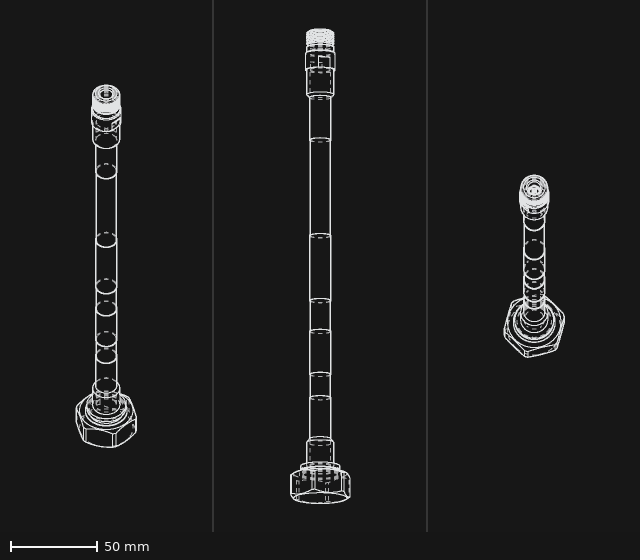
import cadquery as cq
import math


total_height = 276.2
cable_dia = 11.5
sleeve_dia = 12.5
long_sleeve_bottom = 116.8
long_sleeve_top = 155.2
short_sleeve_bottom = 73.2
short_sleeve_top = 98.5

boot_wide_dia = 15.7
lower_boot_top = 59.5
lower_boot_cone_top = 35.0
lower_boot_cone_bottom = 33.0
upper_boot_bottom = 211.8
upper_boot_cone_bottom = 237.0
upper_boot_cone_top = 238.5

nut_across_flats = 31.8
nut_across_corners = 35.5
nut_face_dia = 31.0
nut_bevel_angle = 35.0
nut_top = 14.4
nut_neck_dia = 20.0
nut_recess_dia = 24.3
nut_recess_depth = 0.5
nut_collar_dia = 22.6
nut_collar_bottom = 16.5
nut_collar_top = 19.0

hub_bottom = 253.2
hub_top = 263.5
hub_dia = 17.0
hub_bevel = 0.5
hub_across_flats = 15.7
hub_flat_top = 259.3
shoulder_dia = 15.7
shoulder_top = 266.8
thread_dia = 15.7
thread_root_dia = 14.4
thread_bottom = 268.2
thread_pitch = 1.05
thread_count = 7
tip_face_dia = 12.5

mouth_dia = 9.0
bore_dia = 7.5
bore_depth = 8.3
well_dia = 6.4
well_depth = 11.0
contact_dia = 2.8
contact_recess = 5.5
contact_hole_dia = 1.7
contact_hole_depth = 2.8


def turned(profile):
    """Solid of revolution about Z from (diameter, height) points."""
    points = [(diameter / 2, height) for diameter, height in profile]
    return cq.Workplane("XZ").polyline(points).close().revolve(360, (0, 0), (0, 1))


def make_cable():
    return turned([
        (0, nut_collar_top),
        (cable_dia, nut_collar_top),
        (cable_dia, hub_bottom),
        (0, hub_bottom),
    ])


def make_sleeve(bottom, top):
    return turned([
        (cable_dia, bottom),
        (sleeve_dia, bottom),
        (sleeve_dia, top),
        (cable_dia, top),
    ])


def make_boot(wide_end, cone_wide, cone_narrow, narrow_end):
    return turned([
        (cable_dia, wide_end),
        (boot_wide_dia, wide_end),
        (boot_wide_dia, cone_wide),
        (sleeve_dia, cone_narrow),
        (sleeve_dia, narrow_end),
        (cable_dia, narrow_end),
    ])


def make_nut_connector():
    hexagon_dia = nut_across_flats / math.cos(math.pi / 6)
    hexagon = (
        cq.Workplane("XY")
        .polygon(6, hexagon_dia)
        .extrude(nut_top)
        .rotate((0, 0, 0), (0, 0, 1), 30)
    )
    bevel_height = (nut_across_corners - nut_face_dia) / 2 * math.tan(math.radians(nut_bevel_angle))
    blank = turned([
        (0, 0),
        (nut_face_dia, 0),
        (nut_across_corners, bevel_height),
        (nut_across_corners, nut_top - bevel_height),
        (nut_face_dia, nut_top),
        (0, nut_top),
    ])
    recess_floor = nut_top - nut_recess_depth
    recess = turned([
        (0, recess_floor),
        (nut_recess_dia, recess_floor),
        (nut_recess_dia, nut_top),
        (0, nut_top),
    ])
    collar = turned([
        (0, recess_floor),
        (nut_neck_dia, recess_floor),
        (nut_neck_dia, nut_collar_bottom),
        (nut_collar_dia, nut_collar_bottom),
        (nut_collar_dia, nut_collar_top),
        (0, nut_collar_top),
    ])
    return hexagon.intersect(blank).cut(recess).union(collar)


def thread_ridges():
    """Points of the ridges, modelled as rings, from the bottom up."""
    points = []
    for ridge in range(thread_count):
        root = thread_bottom + ridge * thread_pitch
        points.append((thread_root_dia, root))
        points.append((thread_dia, root + thread_pitch / 2))
    points.append((thread_root_dia, thread_bottom + thread_count * thread_pitch))
    return points


def socket_cavity():
    """Flared mouth, bore and a narrower well around the contact."""
    bore_floor = total_height - bore_depth
    well_floor = total_height - well_depth
    flare_bottom = total_height - (mouth_dia - bore_dia) / 2
    cavity = turned([
        (0, well_floor),
        (well_dia, well_floor),
        (well_dia, bore_floor),
        (bore_dia, bore_floor),
        (bore_dia, flare_bottom),
        (mouth_dia, total_height),
        (0, total_height),
    ])
    contact_top = total_height - contact_recess
    hole_floor = contact_top - contact_hole_depth
    contact = turned([
        (0, well_floor),
        (contact_dia, well_floor),
        (contact_dia, contact_top),
        (contact_hole_dia, contact_top),
        (contact_hole_dia, hole_floor),
        (0, hole_floor),
    ])
    return cavity.cut(contact)


def make_socket_connector():
    body = turned([
        (0, hub_bottom),
        (hub_dia, hub_bottom),
        (hub_dia, hub_top - hub_bevel),
        (hub_dia - 2 * hub_bevel, hub_top),
        (shoulder_dia, hub_top),
        (shoulder_dia, shoulder_top),
        (thread_root_dia, shoulder_top),
        *thread_ridges(),
        (tip_face_dia, total_height),
        (0, total_height),
    ])
    flat_height = hub_flat_top - hub_bottom
    hub_bar = (
        cq.Workplane("XY", origin=(0, 0, hub_bottom))
        .rect(hub_dia, hub_dia)
        .rect(hub_across_flats, hub_dia)
        .extrude(flat_height)
    )
    return body.cut(hub_bar).cut(socket_cavity())


cable = make_cable()
nut_connector = make_nut_connector()
socket_connector = make_socket_connector()

boot_heights = [
    (nut_collar_top, lower_boot_cone_bottom, lower_boot_cone_top, lower_boot_top),
    (hub_bottom, upper_boot_cone_top, upper_boot_cone_bottom, upper_boot_bottom),
]
boots = [make_boot(*heights) for heights in boot_heights]

sleeve_spans = [
    (short_sleeve_bottom, short_sleeve_top),
    (long_sleeve_bottom, long_sleeve_top),
]
sleeves = [make_sleeve(bottom, top) for bottom, top in sleeve_spans]

result = cq.Compound.makeCompound([
    cable.val(),
    nut_connector.val(),
    socket_connector.val(),
    *[boot.val() for boot in boots],
    *[sleeve.val() for sleeve in sleeves],
])